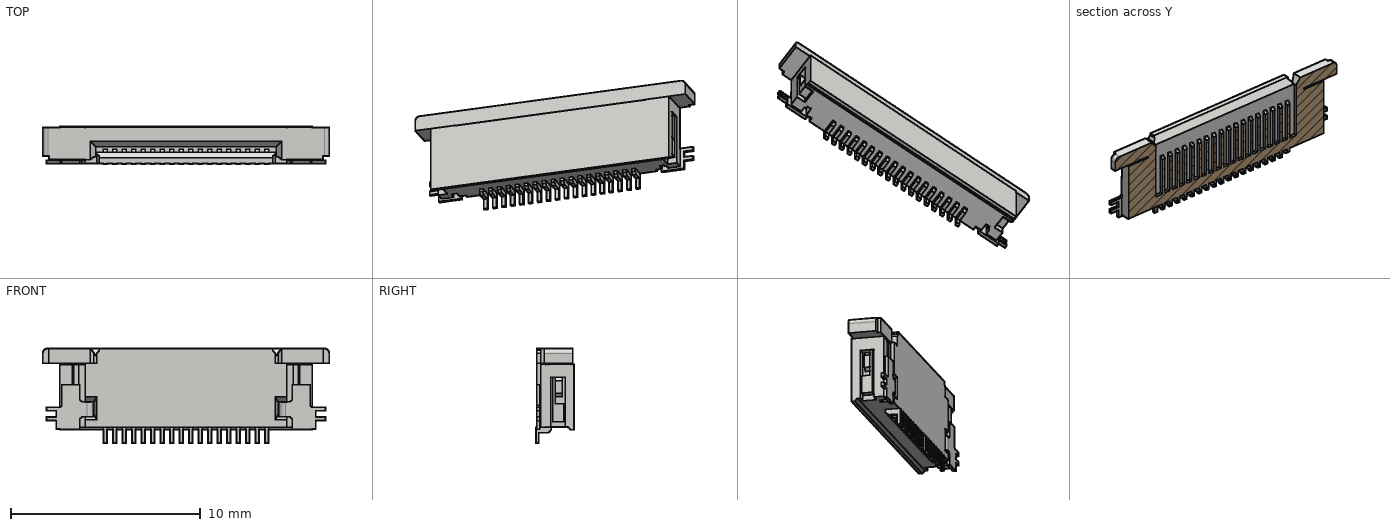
import cadquery as cq


TOTAL_LENGTH = 15.1
TOTAL_DEPTH = 2.02
TOTAL_HEIGHT = 5.0

HOUSING_HALF = 6.66
HOUSING_BOTTOM = 0.85
HOUSING_TOP = 4.15
HOUSING_FRONT = 0.25
LIP_BOTTOM = 0.7
LIP_THICKNESS = 0.18
LIP_SLOPE = 0.15

BAR_BOTTOM = 4.2
BAR_FRONT = 0.25
BAR_BACK = 1.95
BAR_CENTRE_HALF = 7.22
BAR_END_FRONT = 0.44
BAR_END_RADIUS = 0.27

PLATE_FRONT = 0.05
PLATE_HALF = 5.32
PLATE_TOP_HALF = 4.71
PLATE_CORNER_WIDTH = 0.15
PLATE_CORNER_TOP = 4.89
PLATE_CORNER_BOTTOM = 4.73
PLATE_TOP_BACK = 0.35

MOUTH_HALF = 5.05
MOUTH_BACK = 1.22
THROAT_HALF = 4.75
THROAT_FRONT = 0.63
THROAT_BACK = 0.94
THROAT_FLOOR = 1.51
FUNNEL_DEPTH = 0.38
FLARE_BACK = 0.41
FLARE_INNER_HALF = 4.85

GROOVE_OUTER = 6.0
GROOVE_STEP = 5.9
GROOVE_INNER = 5.66
GROOVE_BACK = 0.68
GROOVE_STEP_BACK = 0.53

SLOT_FRONT = 0.8
SLOT_BACK = 1.54
SLOT_TOP = 3.47
SLOT_FLOOR = 6.15
PAD_FRONT = 0.9
PAD_BACK = 1.48
PAD_BOTTOM = 1.13
PAD_FACE = 6.6
POCKET_FRONT = 1.03
POCKET_BOTTOM = 2.08
BUMP_BACK = 1.4
BUMP_BOTTOM = 2.45
BUMP_HEIGHT = 0.18

WINDOW_BOTTOM = 1.24
WINDOW_TOP = 2.45
WINDOW_DEPTH = 0.6
WINDOW_TOP_DRAFT = 0.29
WINDOW_SIDE_DRAFT = 0.14
WINDOW_BOTTOM_DRAFT = 0.27

CLIP_THICKNESS = 0.17
CLIP_TOP = 3.08
CLIP_BOTTOM = 0.74
CLIP_INNER = 5.59
CLIP_UPPER_OUTER = 6.54
CLIP_LOWER_OUTER = 6.84
PRONG_TIP = 7.35
PRONG_WIDTH = 0.2
SHOULDER_CHAMFER = 0.09
PRONG_TOPS = (1.9, 1.39)
FINGER_BOTTOM = 1.39
FINGER_TOP = 2.17
FINGER_BEND = 5.22
FINGER_RADIUS = 0.35
FINGER_CHAMFER = 0.1

CONTACT_COUNT = 18
CONTACT_PITCH = 0.5
CONTACT_WIDTH = 0.2
TAIL_THICKNESS = 0.17
TAIL_BACK = 0.82
TAIL_SHELF = 0.55
TAIL_CHAMFER = 0.15
CONTACT_BACK = 0.8
CONTACT_TOP = 3.78
CONTACT_SLOPE = 0.15


def block(x_range, y_range, z_range):
    """Box between two limits along each axis."""
    limits = (x_range, y_range, z_range)
    sizes = [high - low for low, high in limits]
    low_corner = tuple(low for low, high in limits)
    return cq.Workplane("XY").box(*sizes, centered=False).translate(low_corner)


def centred_block(half_length, y_range, z_range):
    """Box that is symmetric about X = 0."""
    return block((-half_length, half_length), y_range, z_range)


def side_profile(points, half_length):
    """Extrude a (Y, Z) outline symmetrically along X."""
    return cq.Workplane("YZ").polyline(points).close().extrude(half_length, both=True)


def both_ends(left):
    """The left-hand shape together with its mirror image."""
    return left.union(left.mirror("YZ"))


def housing():
    lip_front = TOTAL_DEPTH - LIP_THICKNESS
    outline = [
        (HOUSING_FRONT, HOUSING_BOTTOM),
        (lip_front - LIP_SLOPE, HOUSING_BOTTOM),
        (lip_front, LIP_BOTTOM),
        (TOTAL_DEPTH, LIP_BOTTOM),
        (TOTAL_DEPTH, HOUSING_TOP),
        (HOUSING_FRONT, HOUSING_TOP),
    ]
    return side_profile(outline, HOUSING_HALF)


def actuator_bar():
    ends = centred_block(TOTAL_LENGTH / 2, (BAR_END_FRONT, BAR_BACK), (BAR_BOTTOM, TOTAL_HEIGHT))
    ends = ends.edges("|Y and >Z").fillet(BAR_END_RADIUS)
    centre = centred_block(BAR_CENTRE_HALF, (BAR_FRONT, BAR_BACK), (BAR_BOTTOM, TOTAL_HEIGHT))
    pedestal = centred_block(PLATE_HALF, (BAR_FRONT, BAR_BACK), (HOUSING_TOP, BAR_BOTTOM))
    return ends.union(centre).union(pedestal)


def mouth_cut():
    """Funnel and throat behind the plate, open to the front above the plate shoulders."""
    funnel_bottom = TOTAL_HEIGHT - FUNNEL_DEPTH
    funnel = (
        cq.Workplane("XY", origin=(0, 0, TOTAL_HEIGHT))
        .moveTo(-MOUTH_HALF, BAR_FRONT)
        .lineTo(MOUTH_HALF, BAR_FRONT)
        .lineTo(MOUTH_HALF, MOUTH_BACK)
        .lineTo(-MOUTH_HALF, MOUTH_BACK)
        .close()
        .workplane(offset=-FUNNEL_DEPTH)
        .moveTo(-THROAT_HALF, BAR_FRONT)
        .lineTo(THROAT_HALF, BAR_FRONT)
        .lineTo(THROAT_HALF, THROAT_BACK)
        .lineTo(-THROAT_HALF, THROAT_BACK)
        .close()
        .loft(ruled=True)
    )
    throat = centred_block(THROAT_HALF, (THROAT_FRONT, THROAT_BACK), (THROAT_FLOOR, funnel_bottom))
    flare_outline = [
        (-MOUTH_HALF, BAR_FRONT),
        (MOUTH_HALF, BAR_FRONT),
        (FLARE_INNER_HALF, FLARE_BACK),
        (-FLARE_INNER_HALF, FLARE_BACK),
    ]
    flare = cq.Workplane("XY", origin=(0, 0, BAR_BOTTOM)).polyline(flare_outline).close()
    flare = flare.extrude(TOTAL_HEIGHT - BAR_BOTTOM)
    return funnel.union(throat).union(flare)


def front_plate():
    lower = centred_block(PLATE_HALF, (PLATE_FRONT, HOUSING_FRONT), (HOUSING_BOTTOM, BAR_BOTTOM))
    outline = [
        (PLATE_FRONT, BAR_BOTTOM),
        (PLATE_FRONT, TOTAL_HEIGHT),
        (PLATE_TOP_BACK, TOTAL_HEIGHT),
        (THROAT_FRONT, TOTAL_HEIGHT - FUNNEL_DEPTH),
        (THROAT_FRONT, BAR_BOTTOM),
    ]
    corner_half = PLATE_TOP_HALF - PLATE_CORNER_WIDTH
    face = [
        (-PLATE_TOP_HALF, BAR_BOTTOM),
        (-PLATE_TOP_HALF, PLATE_CORNER_BOTTOM),
        (-corner_half, PLATE_CORNER_TOP),
        (-corner_half, TOTAL_HEIGHT),
        (corner_half, TOTAL_HEIGHT),
        (corner_half, PLATE_CORNER_TOP),
        (PLATE_TOP_HALF, PLATE_CORNER_BOTTOM),
        (PLATE_TOP_HALF, BAR_BOTTOM),
    ]
    front_shape = cq.Workplane("XZ").polyline(face).close().extrude(-TOTAL_DEPTH)
    upper = side_profile(outline, PLATE_TOP_HALF).intersect(front_shape)
    return lower.union(upper)


def groove_cut():
    z_range = (HOUSING_BOTTOM, HOUSING_TOP)
    deep = block((-GROOVE_STEP, -GROOVE_INNER), (HOUSING_FRONT, GROOVE_BACK), z_range)
    shallow = block((-GROOVE_OUTER, -GROOVE_STEP), (HOUSING_FRONT, GROOVE_STEP_BACK), z_range)
    return both_ends(deep.union(shallow))


def side_slot_cut():
    left = block((-HOUSING_HALF, -SLOT_FLOOR), (SLOT_FRONT, SLOT_BACK), (HOUSING_BOTTOM, SLOT_TOP))
    return both_ends(left)


def latch_pads():
    """Pads inside the side slots; each pocket holds a bump with sloping ends."""
    x_range = (-PAD_FACE, -SLOT_FLOOR)
    pad = block(x_range, (PAD_FRONT, PAD_BACK), (PAD_BOTTOM, SLOT_TOP))
    pocket = block(x_range, (POCKET_FRONT, PAD_BACK), (POCKET_BOTTOM, SLOT_TOP))
    crest = -SLOT_FLOOR - BUMP_HEIGHT
    outline = [
        (-SLOT_FLOOR, BUMP_BOTTOM),
        (crest, BUMP_BOTTOM + BUMP_HEIGHT),
        (crest, SLOT_TOP - BUMP_HEIGHT),
        (-SLOT_FLOOR, SLOT_TOP),
    ]
    bump = cq.Workplane("XZ", origin=(0, POCKET_FRONT, 0)).polyline(outline).close()
    bump = bump.extrude(POCKET_FRONT - BUMP_BACK)
    return both_ends(pad.cut(pocket).union(bump))


def window_cut():
    """Opening at the plate edge whose top, bottom and inner walls taper inward."""
    window = (
        cq.Workplane("XZ", origin=(0, PLATE_FRONT, 0))
        .moveTo(-PLATE_HALF, WINDOW_BOTTOM)
        .lineTo(-PLATE_TOP_HALF, WINDOW_BOTTOM)
        .lineTo(-PLATE_TOP_HALF, WINDOW_TOP)
        .lineTo(-PLATE_HALF, WINDOW_TOP)
        .close()
        .workplane(offset=-WINDOW_DEPTH)
        .moveTo(-PLATE_HALF, WINDOW_BOTTOM + WINDOW_BOTTOM_DRAFT)
        .lineTo(-PLATE_TOP_HALF - WINDOW_SIDE_DRAFT, WINDOW_BOTTOM + WINDOW_BOTTOM_DRAFT)
        .lineTo(-PLATE_TOP_HALF - WINDOW_SIDE_DRAFT, WINDOW_TOP - WINDOW_TOP_DRAFT)
        .lineTo(-PLATE_HALF, WINDOW_TOP - WINDOW_TOP_DRAFT)
        .close()
        .loft(ruled=True)
    )
    return both_ends(window)


def clips():
    clip_back = PLATE_FRONT + CLIP_THICKNESS
    y_range = (PLATE_FRONT, clip_back)
    outline = [
        (-CLIP_LOWER_OUTER, CLIP_BOTTOM),
        (-CLIP_INNER, CLIP_BOTTOM),
        (-CLIP_INNER, FINGER_BOTTOM - FINGER_CHAMFER),
        (-CLIP_INNER + FINGER_CHAMFER, FINGER_BOTTOM),
        (-FINGER_BEND, FINGER_BOTTOM),
        (-FINGER_BEND, FINGER_TOP),
        (-CLIP_INNER + FINGER_CHAMFER, FINGER_TOP),
        (-CLIP_INNER, FINGER_TOP + FINGER_CHAMFER),
        (-CLIP_INNER, CLIP_TOP),
        (-CLIP_UPPER_OUTER, CLIP_TOP),
        (-CLIP_UPPER_OUTER, PRONG_TOPS[0] + SHOULDER_CHAMFER),
        (-CLIP_UPPER_OUTER - SHOULDER_CHAMFER, PRONG_TOPS[0]),
        (-CLIP_LOWER_OUTER, PRONG_TOPS[0]),
    ]
    clip = cq.Workplane("XZ", origin=(0, PLATE_FRONT, 0)).polyline(outline).close()
    clip = clip.extrude(-CLIP_THICKNESS)
    for prong_top in PRONG_TOPS:
        prong_z = (prong_top - PRONG_WIDTH, prong_top)
        clip = clip.union(block((-PRONG_TIP, -CLIP_LOWER_OUTER), y_range, prong_z))

    bend_y = PLATE_FRONT + FINGER_RADIUS
    anchor_y = PLATE_FRONT + WINDOW_DEPTH
    inner_radius = FINGER_RADIUS - CLIP_THICKNESS
    finger = (
        cq.Workplane("XY", origin=(0, 0, FINGER_BOTTOM))
        .moveTo(-FINGER_BEND, PLATE_FRONT)
        .radiusArc((-FINGER_BEND + FINGER_RADIUS, bend_y), -FINGER_RADIUS)
        .lineTo(-FINGER_BEND + FINGER_RADIUS, anchor_y)
        .lineTo(-FINGER_BEND + inner_radius, anchor_y)
        .lineTo(-FINGER_BEND + inner_radius, bend_y)
        .radiusArc((-FINGER_BEND, clip_back), inner_radius)
        .close()
        .extrude(FINGER_TOP - FINGER_BOTTOM)
    )
    return both_ends(clip.union(finger))


def contact():
    """One contact: an angled solder tail below and a blade inside the throat."""
    tail = [
        (0, 0),
        (TAIL_THICKNESS, 0),
        (TAIL_THICKNESS, TAIL_SHELF),
        (TAIL_BACK - TAIL_CHAMFER, TAIL_SHELF),
        (TAIL_BACK, TAIL_SHELF + TAIL_CHAMFER),
        (TAIL_BACK, HOUSING_BOTTOM),
        (0, HOUSING_BOTTOM),
    ]
    blade = [
        (THROAT_FRONT, THROAT_FLOOR),
        (CONTACT_BACK, THROAT_FLOOR),
        (CONTACT_BACK, CONTACT_TOP - CONTACT_SLOPE),
        (THROAT_FRONT, CONTACT_TOP),
    ]
    half_width = CONTACT_WIDTH / 2
    return side_profile(tail, half_width).union(side_profile(blade, half_width))


result = housing().union(actuator_bar()).cut(mouth_cut()).cut(groove_cut()).cut(side_slot_cut())
result = result.union(front_plate()).union(latch_pads()).cut(window_cut()).union(clips())

single_contact = contact()
for index in range(CONTACT_COUNT):
    contact_x = (index - (CONTACT_COUNT - 1) / 2) * CONTACT_PITCH
    result = result.union(single_contact.translate((contact_x, 0, 0)))